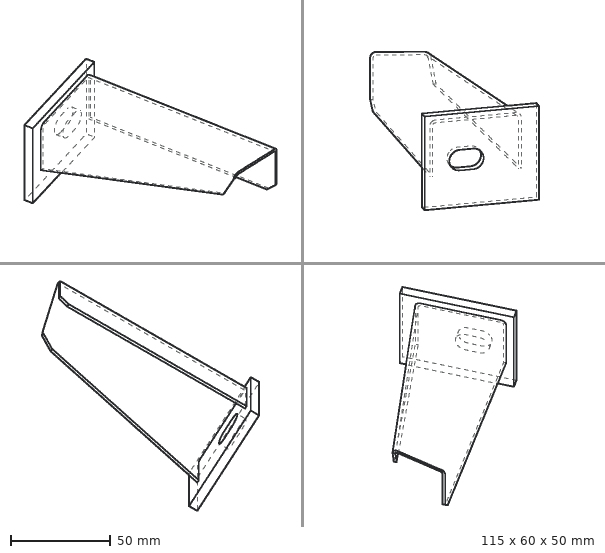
import cadquery as cq
import math

length = 115.0
plate_thickness = 5.0
plate_width = 60.0
plate_height = 50.0

slot_length = 17.9
slot_height = 10.9
slot_offset = 8.0

sheet = 1.5
bend_radius = 3.0
arm_top = 21.0
arm_bottom = -8.9
straight_side = 26.0
tapered_side = -22.0
taper = math.radians(10)
end_slant = math.radians(15)
corner_chamfer = 5.0

flange_corner_x = 102.0
flange_corner_z = 5.8
flange_end_lean = math.radians(25)


def make_plate():
    """Rectangular plate with a horizontal slot."""
    plate = cq.Workplane("XY").box(plate_thickness, plate_width, plate_height)
    plate = plate.translate((plate_thickness / 2, 0, 0))
    slot = (
        cq.Workplane("YZ")
        .center(slot_offset, 0)
        .slot2D(slot_length, slot_height)
        .extrude(plate_thickness)
    )
    return plate.cut(slot)


def tapered_block(inset):
    """Round-edged block bounded by the arm's top and side faces, each moved in by inset."""
    run = length - plate_thickness
    far_y = straight_side - inset
    near_start = tapered_side + inset / math.cos(taper)
    near_end = near_start + run * math.tan(taper)
    block = (
        cq.Workplane("XY", origin=(0, 0, arm_bottom))
        .moveTo(plate_thickness, near_start)
        .lineTo(length, near_end)
        .lineTo(length, far_y)
        .lineTo(plate_thickness, far_y)
        .close()
        .extrude(arm_top - inset - arm_bottom)
    )
    long_edges = block.faces(">Z").edges("not |Y")
    return long_edges.fillet(bend_radius - inset)


def plan_limits():
    """Prism that cuts the free end of the top face at a slant."""
    slant_start = straight_side - bend_radius
    slant_width = slant_start + plate_width / 2
    return (
        cq.Workplane("XY", origin=(0, 0, arm_bottom))
        .moveTo(plate_thickness, -plate_width / 2)
        .lineTo(length - slant_width * math.tan(end_slant), -plate_width / 2)
        .lineTo(length, slant_start)
        .lineTo(length, straight_side)
        .lineTo(plate_thickness, straight_side)
        .close()
        .extrude(arm_top - arm_bottom)
    )


def flange_waste():
    """Material below and beyond the tapered flange, clear of the straight flange."""
    bend_z = arm_top - bend_radius
    end_x = flange_corner_x + (bend_z - flange_corner_z) * math.tan(flange_end_lean)
    waste_side = straight_side - bend_radius
    return (
        cq.Workplane("XZ", origin=(0, waste_side, 0))
        .moveTo(plate_thickness, arm_bottom)
        .lineTo(flange_corner_x, flange_corner_z)
        .lineTo(end_x, bend_z)
        .lineTo(length, bend_z)
        .lineTo(length, arm_bottom)
        .close()
        .extrude(waste_side + plate_width / 2)
    )


def make_arm():
    """Bent channel with trimmed ends on both flanges."""
    arm = tapered_block(0).cut(tapered_block(sheet))
    arm = arm.intersect(plan_limits()).cut(flange_waste())
    return arm.faces(">X").edges("<Z").chamfer(corner_chamfer)


plate = make_plate()
arm = make_arm()
result = cq.Compound.makeCompound([plate.val(), arm.val()])